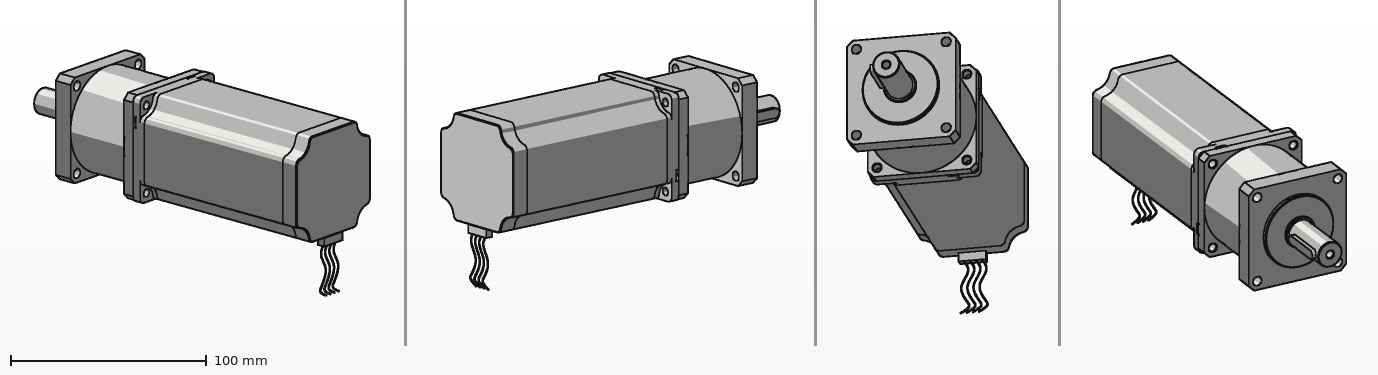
import cadquery as cq


seal_start = 30.7
pilot_start = 32.0
flange_start = 34.3
flange_end = 44.5
adapter_start = 81.0
motor_start = 87.2
notch_start = 92.0
stack_start = 95.0
rear_cap_start = 189.6
motor_end = 199.0

frame_width = 57.07
half_width = frame_width / 2
mount_spacing = 47.14
mount_hole_diameter = 5.0
adapter_hole_diameter = 4.2
adapter_hole_chamfer = 0.4
flange_corner_chamfer = 3.2
motor_flange_corner_radius = 3.0

barrel_diameter = frame_width
pilot_diameter = 40.0
pilot_chamfer = 0.5
seal_diameter = 17.0
seal_chamfer = 0.4

stud_count = 4
stud_circle_radius = 29.5
stud_first_angle = 60.0
stud_diameter = 3.3
stud_pocket_diameter = 8.0
stud_pocket_depth = 1.7

shaft_diameter = 14.0
shaft_tip_chamfer = 0.4
centre_hole_diameter = 4.0
centre_hole_chamfer = 0.4
centre_hole_depth = 12.5
key_start = 2.5
key_length = 25.0
key_width = 5.0
key_height = 5.0
key_projection = 2.0

scallop_radius = 9.0
scallop_inset = 1.0
scallop_edge_radius = 3.0
rear_chamfer = 0.5

connector_thickness = 4.2
connector_width = 14.2
connector_height = 4.6
connector_rear_gap = 0.2
wire_count = 4
wire_pitch = 3.2
wire_diameter = 0.5
wire_root = 0.3
wire_drop = 27.73
wire_bend_heights = (4.1, 13.6, 22.6)
wire_bend_offsets = (-2.3, 1.3, -2.3)
wire_end_offset = 1.7
wire_start_direction = (0, -1, -1)
wire_end_direction = (0, 1, -0.5)


def section(x):
    """Workplane across the axis at x; its local axes are Y and Z and it extrudes toward +X."""
    return cq.Workplane("YZ", origin=(x, 0, 0))


def disc(start, end, diameter):
    return section(start).circle(diameter / 2).extrude(end - start)


def square_block(start, end):
    return section(start).rect(frame_width, frame_width).extrude(end - start)


def mount_holes(start, end, diameter):
    pattern = section(start).rect(mount_spacing, mount_spacing, forConstruction=True).vertices()
    return pattern.circle(diameter / 2).extrude(end - start)


def countersunk_hole_tool(start, end, diameter, chamfer):
    """Cutter on the axis for a hole from start to end with a chamfered mouth at start."""
    mouth = section(start).circle(diameter / 2 + chamfer)
    mouth = mouth.workplane(offset=chamfer).circle(diameter / 2).loft()
    return disc(start, end, diameter).union(mouth)


def stud_cylinders(diameter):
    centres = section(motor_start).polarArray(stud_circle_radius, stud_first_angle, 360, stud_count)
    return centres.circle(diameter / 2).extrude(stud_pocket_depth)


def corner_scallops(start, end):
    spacing = frame_width - 2 * scallop_inset
    pattern = section(start).rect(spacing, spacing, forConstruction=True).vertices()
    return pattern.circle(scallop_radius).extrude(end - start)


def scalloped_block(start, end):
    """Square length of motor with a rounded-edge concave scallop along each corner."""
    block = square_block(start, end).cut(corner_scallops(start, end))
    return block.edges("|X").fillet(scallop_edge_radius)


def build_gearbox():
    flange = square_block(flange_start, flange_end).edges("|X").chamfer(flange_corner_chamfer)
    flange = flange.cut(mount_holes(flange_start, flange_end, mount_hole_diameter))
    adapter = square_block(adapter_start, motor_start).edges("|X").chamfer(flange_corner_chamfer)
    hole = countersunk_hole_tool(adapter_start, motor_start, adapter_hole_diameter, adapter_hole_chamfer)
    half_spacing = mount_spacing / 2
    for y in (-half_spacing, half_spacing):
        for z in (-half_spacing, half_spacing):
            adapter = adapter.cut(hole.translate((0, y, z)))
    barrel = disc(flange_end, adapter_start, barrel_diameter)
    pilot = disc(pilot_start, flange_start, pilot_diameter).faces("<X").chamfer(pilot_chamfer)
    seal = disc(seal_start, pilot_start, seal_diameter).faces("<X").chamfer(seal_chamfer)
    gearbox = flange.union(barrel).union(adapter).union(pilot).union(seal)
    gearbox = gearbox.union(stud_cylinders(stud_diameter))
    return gearbox.cut(disc(seal_start, flange_end, shaft_diameter))


def build_key():
    top = shaft_diameter / 2 + key_projection
    plane = cq.Workplane("XZ", origin=(key_start + key_length / 2, top, 0))
    return plane.slot2D(key_length, key_width).extrude(key_height)


def build_shaft(key):
    shaft = disc(0, flange_end, shaft_diameter).faces("<X").chamfer(shaft_tip_chamfer)
    hole = countersunk_hole_tool(0, centre_hole_depth, centre_hole_diameter, centre_hole_chamfer)
    shaft = shaft.cut(hole)
    return shaft.cut(key)


def build_front_cap():
    cap = square_block(motor_start, notch_start).edges("|X").fillet(motor_flange_corner_radius)
    cap = cap.union(scalloped_block(notch_start, stack_start))
    cap = cap.cut(mount_holes(motor_start, notch_start, adapter_hole_diameter))
    return cap.cut(stud_cylinders(stud_pocket_diameter))


def build_stack():
    return scalloped_block(stack_start, rear_cap_start)


def build_rear_cap():
    return scalloped_block(rear_cap_start, motor_end).faces(">X").chamfer(rear_chamfer)


def build_wire(x, y, z):
    """Wavy wire that hangs from (x, y, z), with its root a little inside the connector."""
    points = [cq.Vector(x, y, z + wire_root)]
    for offset, height in zip(wire_bend_offsets, wire_bend_heights):
        points.append(cq.Vector(x, y + offset, z - height))
    points.append(cq.Vector(x, y + wire_end_offset, z - wire_drop))
    start_direction = cq.Vector(*wire_start_direction)
    end_direction = cq.Vector(*wire_end_direction)
    path = cq.Edge.makeSpline(points, tangents=[start_direction, end_direction])
    root = cq.Workplane(cq.Plane(points[0], xDir=(1, 0, 0), normal=start_direction))
    return root.circle(wire_diameter / 2).sweep(cq.Workplane(path))


def build_cable():
    x = motor_end - connector_rear_gap - connector_thickness / 2
    bottom = -half_width - connector_height
    cable = cq.Workplane("XY", origin=(x, 0, bottom))
    cable = cable.rect(connector_thickness, connector_width).extrude(connector_height)
    for index in range(wire_count):
        y = (index - (wire_count - 1) / 2) * wire_pitch
        cable = cable.union(build_wire(x, y, bottom))
    return cable


gearbox = build_gearbox()
key = build_key()
shaft = build_shaft(key)
front_cap = build_front_cap()
stack = build_stack()
rear_cap = build_rear_cap()
cable = build_cable()

bodies = [gearbox, shaft, key, front_cap, stack, rear_cap, cable]
result = cq.Compound.makeCompound([body.val() for body in bodies])